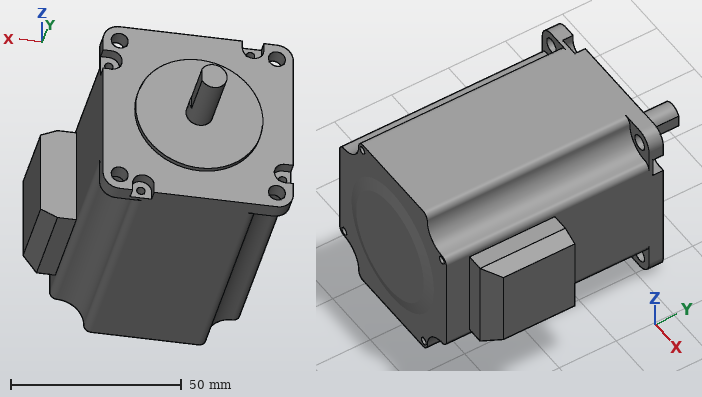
import cadquery as cq
import math


side = 57.0
half_side = side / 2
flange_thickness = 5.0
flange_corner_radius = 4.95
body_length = 71.1
rear_face_y = -(flange_thickness + body_length)

scallop_start = 16.0
lip_radius = 2.3
lip_center = half_side - lip_radius
scallop_edge = scallop_start + lip_radius
scallop_radius = lip_center - scallop_edge

mount_hole_offset = 23.6
mount_hole_diameter = 5.0
bolt_hole_diameter = 2.5
bolt_hole_near = 16.4
bolt_hole_far = 26.0
recess_width = 6.4
recess_depth = 3.7

pilot_diameter = 38.1
pilot_height = 1.5
shaft_diameter = 8.0
shaft_length = 20.4
shaft_flat_offset = 3.5
shaft_flat_length = 14.9
cover_base_radius = 22.0
cover_top_radius = 18.0
cover_height = 1.0

connector_depth = 10.7
connector_straight_depth = 5.6
connector_half_width = 15.3
connector_tip_half_width = 13.1
connector_length = 29.9
connector_rear_slope = 4.9
connector_rear_gap = 8.1


def section(y):
    """Workplane across the motor axis at y, with local x = X, local y = Z and extrusion toward -Y."""
    return cq.Workplane("XZ", origin=(0, y, 0))


def cylinder(diameter, start_y, length):
    """Cylinder on the motor axis, growing toward +Y."""
    return section(start_y).circle(diameter / 2).extrude(-length)


def make_flange():
    plate = section(0).rect(side, side).extrude(flange_thickness)
    return plate.edges("|Y").fillet(flange_corner_radius)


def make_body():
    diagonal = math.sqrt(0.5)
    lip_mid = (scallop_start + lip_radius * diagonal, lip_center + lip_radius * diagonal)
    scallop_mid = lip_center - scallop_radius * diagonal
    outside = side
    corner = (
        section(-flange_thickness)
        .moveTo(scallop_start, half_side)
        .threePointArc(lip_mid, (scallop_edge, lip_center))
        .threePointArc((scallop_mid, scallop_mid), (lip_center, scallop_edge))
        .threePointArc(lip_mid[::-1], (half_side, scallop_start))
        .lineTo(outside, scallop_start)
        .lineTo(outside, outside)
        .lineTo(scallop_start, outside)
        .close()
        .extrude(body_length)
    )
    body = section(-flange_thickness).rect(side, side).extrude(body_length)
    for quarter in range(4):
        body = body.cut(corner.rotate((0, 0, 0), (0, 1, 0), 90 * quarter))
    return body


def make_shaft():
    shaft = cylinder(shaft_diameter, pilot_height, shaft_length)
    flat_cut = cq.Workplane("XY").box(
        shaft_diameter, shaft_flat_length, shaft_diameter, centered=(False, False, True)
    )
    flat_start_y = pilot_height + shaft_length - shaft_flat_length
    return shaft.cut(flat_cut.translate((shaft_flat_offset, flat_start_y, 0)))


def make_rear_cover():
    return (
        cq.Workplane("XY", origin=(0, rear_face_y, 0))
        .lineTo(cover_base_radius, 0)
        .lineTo(cover_top_radius, -cover_height)
        .lineTo(0, -cover_height)
        .close()
        .revolve(360, (0, 0), (0, 1))
    )


def make_connector():
    rear_y = rear_face_y + connector_rear_gap
    front_y = rear_y + connector_length
    step_x = half_side + connector_straight_depth
    tip_x = half_side + connector_depth
    tapered = (
        section(front_y)
        .moveTo(half_side, -connector_half_width)
        .lineTo(step_x, -connector_half_width)
        .lineTo(tip_x, -connector_tip_half_width)
        .lineTo(tip_x, connector_tip_half_width)
        .lineTo(step_x, connector_half_width)
        .lineTo(half_side, connector_half_width)
        .close()
        .extrude(connector_length)
    )
    rear_slope = (
        cq.Workplane("XY")
        .moveTo(step_x, rear_y)
        .lineTo(tip_x, rear_y)
        .lineTo(tip_x, rear_y + connector_rear_slope)
        .close()
        .extrude(connector_half_width, both=True)
    )
    return tapered.cut(rear_slope)


def cut_mount_holes(motor):
    spacing = 2 * mount_hole_offset
    holes = (
        section(0)
        .rect(spacing, spacing, forConstruction=True)
        .vertices()
        .circle(mount_hole_diameter / 2)
        .extrude(flange_thickness)
    )
    return motor.cut(holes)


def cut_bolt_holes(motor):
    """Four through bolt holes, each with a round-ended recess open to the flange edge."""
    start = section(0).center(-bolt_hole_near, bolt_hole_far)
    bore = start.circle(bolt_hole_diameter / 2).extrude(-rear_face_y)
    recess_end = start.circle(recess_width / 2).extrude(recess_depth)
    recess_mouth = (
        start.rect(recess_width, half_side - bolt_hole_far, centered=(True, False)).extrude(recess_depth)
    )
    cutter = bore.union(recess_end).union(recess_mouth)
    for quarter in range(4):
        motor = motor.cut(cutter.rotate((0, 0, 0), (0, 1, 0), 90 * quarter))
    return motor


motor = (
    make_flange()
    .union(make_body())
    .union(cylinder(pilot_diameter, 0, pilot_height))
    .union(make_shaft())
    .union(make_rear_cover())
    .union(make_connector())
)
result = cut_bolt_holes(cut_mount_holes(motor))